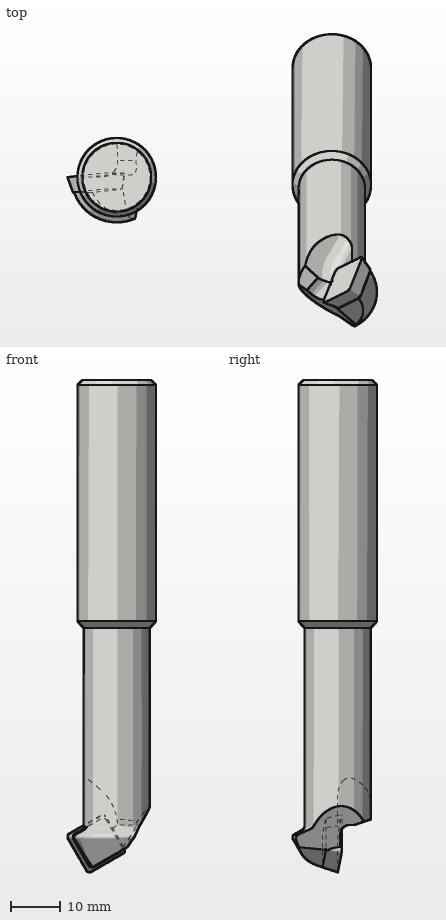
import cadquery as cq
import math

TOTAL_LENGTH = 100.0
NECK_TOP_Z = 49.6

SHANK_DIAMETER = 16.0
SHANK_TOP_CHAMFER = 1.0
NECK_DIAMETER = 13.5
NECK_CONE_HEIGHT = 1.4

INSERT_SIDE = 9.0
INSERT_THICKNESS = 3.2
INSERT_NOSE_RADIUS = 0.8
INSERT_RELIEF_ANGLE = 11.0
INSERT_RAKE_ANGLE = 5.5
INSERT_REACH = 10.0
EDGE_ANGLE = 30.0

HEAD_RADIUS = 9.2
RIM_RADIUS = 0.7
RIM_CENTER_Z = 7.1
HEAD_FILLET = 0.9
HEAD_EDGE_INSET = 0.7

CLEARANCE_TOP_Z = 13.4
CLEARANCE_SLOPE = 57.0
CLEARANCE_HEADING = 6.0

GULLET_TOP_Z = 19.7
GULLET_RUNOUT_ANGLE = 40.0
GULLET_RUNOUT_RADIUS = 10.0
GULLET_CORNER_RADIUS = 3.2
GULLET_FLOOR_X = 0.2

REAR_WALL_Y = 0.5
REAR_FLAT_Z = 9.6
REAR_SLOPE_Y = 3.4
REAR_SLOPE_ANGLE = 19.0
REAR_CORNER_RADIUS = 1.9

CUT_SIZE = 40.0

SHANK_RADIUS = SHANK_DIAMETER / 2
NECK_RADIUS = NECK_DIAMETER / 2
EDGE_COS = math.cos(math.radians(EDGE_ANGLE))
EDGE_SIN = math.sin(math.radians(EDGE_ANGLE))
EDGE_TAN = EDGE_SIN / EDGE_COS

CORNER_Z = INSERT_NOSE_RADIUS * (1 - EDGE_COS - EDGE_SIN)
CORNER_X = (
    INSERT_NOSE_RADIUS * (1 - EDGE_COS)
    + (INSERT_SIDE - INSERT_NOSE_RADIUS) * EDGE_SIN
    - INSERT_REACH
)


def point_on_circle(center, radius, angle):
    """Point at an angle in degrees, counter-clockwise from the radial direction."""
    turn = math.radians(angle)
    return (center[0] + radius * math.cos(turn), center[1] + radius * math.sin(turn))


def make_insert():
    """Square insert with tapered flanks, its outer edge lying in the plane Y = 0."""
    square = cq.Workplane("XZ").rect(INSERT_SIDE, INSERT_SIDE, centered=False)
    blank = square.extrude(INSERT_THICKNESS, taper=INSERT_RELIEF_ANGLE)
    blank = blank.edges("not(#Y)").fillet(INSERT_NOSE_RADIUS)
    tilted = blank.rotate((0, 0, 0), (0, 0, 1), INSERT_RAKE_ANGLE)
    turned = tilted.rotate((0, 0, 0), (0, 1, 0), -EDGE_ANGLE)
    return turned.translate((CORNER_X, 0, CORNER_Z))


def make_turned_blank():
    """Shank, neck and double-cone head, turned in one profile about the tool axis."""
    rim_center = (HEAD_RADIUS - RIM_RADIUS, RIM_CENTER_Z)
    rim_top = point_on_circle(rim_center, RIM_RADIUS, 90 - EDGE_ANGLE)
    rim_outer = point_on_circle(rim_center, RIM_RADIUS, 0)
    rim_bottom = point_on_circle(rim_center, RIM_RADIUS, -EDGE_ANGLE)
    cone_foot = (rim_bottom[0] - rim_bottom[1] * EDGE_TAN, 0)

    cone_meets_neck_z = rim_top[1] + (rim_top[0] - NECK_RADIUS) * EDGE_TAN
    fillet_sweep = 90 - EDGE_ANGLE
    fillet_top_z = cone_meets_neck_z + HEAD_FILLET * math.tan(math.radians(fillet_sweep / 2))
    fillet_center = (NECK_RADIUS + HEAD_FILLET, fillet_top_z)
    fillet_middle = point_on_circle(fillet_center, HEAD_FILLET, 180 + fillet_sweep / 2)
    fillet_end = point_on_circle(fillet_center, HEAD_FILLET, 180 + fillet_sweep)

    profile = (
        cq.Workplane("XZ")
        .moveTo(0, TOTAL_LENGTH)
        .lineTo(SHANK_RADIUS - SHANK_TOP_CHAMFER, TOTAL_LENGTH)
        .lineTo(SHANK_RADIUS, TOTAL_LENGTH - SHANK_TOP_CHAMFER)
        .lineTo(SHANK_RADIUS, NECK_TOP_Z + NECK_CONE_HEIGHT)
        .lineTo(NECK_RADIUS, NECK_TOP_Z)
        .lineTo(NECK_RADIUS, fillet_top_z)
        .threePointArc(fillet_middle, fillet_end)
        .lineTo(*rim_top)
        .threePointArc(rim_outer, rim_bottom)
        .lineTo(*cone_foot)
        .lineTo(0, 0)
        .close()
    )
    return profile.revolve(360, (0, 0, 0), (0, 1, 0))


def make_block_below(slope, heading):
    """Block under a plane through the origin that climbs at slope, turned by heading from +X."""
    block = cq.Workplane("XY").box(2 * CUT_SIZE, 2 * CUT_SIZE, CUT_SIZE).translate((0, 0, -CUT_SIZE / 2))
    return block.rotate((0, 0, 0), (0, 1, 0), -slope).rotate((0, 0, 0), (0, 0, 1), heading)


def make_underside_cutter():
    """Space under the head, parallel to the lower cutting edge."""
    below = make_block_below(EDGE_ANGLE, 0)
    return below.translate((CORNER_X, 0, CORNER_Z + HEAD_EDGE_INSET / EDGE_COS))


def make_clearance_cutter():
    """Space under the steep plane that trims the neck and head on the +X side."""
    below = make_block_below(CLEARANCE_SLOPE, CLEARANCE_HEADING)
    return below.translate((NECK_RADIUS, 0, CLEARANCE_TOP_Z))


def make_gullet_cutter():
    """Gullet with an upright floor that runs out to the neck surface, rounded into its side wall."""
    outer_x = -CUT_SIZE
    depth = GULLET_FLOOR_X - outer_x
    runout_slope = math.tan(math.radians(GULLET_RUNOUT_ANGLE))
    bend_z = GULLET_TOP_Z - (NECK_RADIUS + GULLET_FLOOR_X) * runout_slope
    cutter = (
        cq.Workplane("XZ")
        .moveTo(GULLET_FLOOR_X, bend_z)
        .lineTo(outer_x, bend_z + depth * runout_slope)
        .lineTo(outer_x, -CUT_SIZE)
        .lineTo(GULLET_FLOOR_X, -CUT_SIZE)
        .close()
        .extrude(-CUT_SIZE)
    )
    bend_edge = cq.NearestToPointSelector((GULLET_FLOOR_X, CUT_SIZE / 2, bend_z))
    cutter = cutter.edges(bend_edge).fillet(GULLET_RUNOUT_RADIUS)
    wall_edge = cq.NearestToPointSelector((GULLET_FLOOR_X, 0, 0))
    return cutter.faces("<Y").edges(wall_edge).fillet(GULLET_CORNER_RADIUS)


def make_rear_end_cutter():
    """Space behind the insert and under the rear half of the neck."""
    slope_rise = (CUT_SIZE - REAR_SLOPE_Y) * math.tan(math.radians(REAR_SLOPE_ANGLE))
    cutter = (
        cq.Workplane("YZ")
        .moveTo(REAR_WALL_Y, -CUT_SIZE)
        .lineTo(REAR_WALL_Y, REAR_FLAT_Z)
        .lineTo(REAR_SLOPE_Y, REAR_FLAT_Z)
        .lineTo(CUT_SIZE, REAR_FLAT_Z + slope_rise)
        .lineTo(CUT_SIZE, -CUT_SIZE)
        .close()
        .extrude(CUT_SIZE, both=True)
    )
    wall_corner = cq.NearestToPointSelector((0, REAR_WALL_Y, REAR_FLAT_Z))
    return cutter.edges(wall_corner).fillet(REAR_CORNER_RADIUS)


insert = make_insert()

holder = (
    make_turned_blank()
    .cut(make_underside_cutter())
    .cut(make_clearance_cutter())
    .cut(make_gullet_cutter())
    .cut(make_rear_end_cutter())
    .cut(insert)
)

result = cq.Compound.makeCompound([holder.solids().val(), insert.val()])